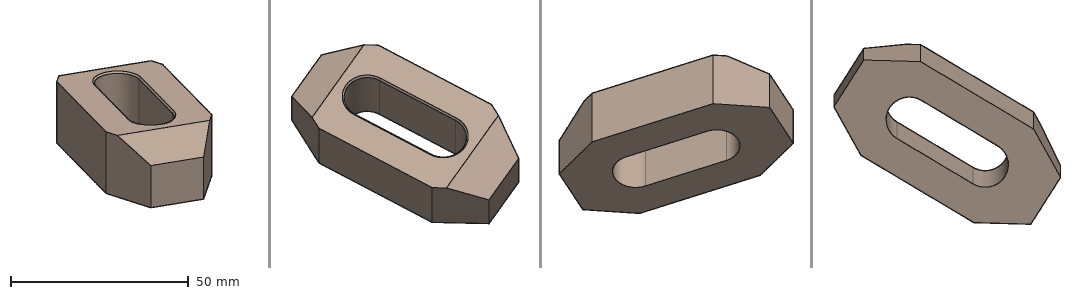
import cadquery as cq
import math

length = 65.0
width = 32.0
height = 19.0

taper_angle = math.radians(30)
nose_width = 16.0
slope_drop = 6.0
side_cut_depth = (width - nose_width) / 2
side_cut_length = side_cut_depth / math.tan(taper_angle)
slope_length = slope_drop / math.tan(taper_angle)

slot_length = 38.0
slot_width = 13.0
slot_chamfer = 0.5


def plan_body():
    """Prism with the eight-sided plan outline, standing on Z = 0."""
    flat_end = length / 2 - side_cut_length
    outline = [
        (length / 2, -nose_width / 2),
        (length / 2, nose_width / 2),
        (flat_end, width / 2),
        (-flat_end, width / 2),
        (-length / 2, nose_width / 2),
        (-length / 2, -nose_width / 2),
        (-flat_end, -width / 2),
        (flat_end, -width / 2),
    ]
    return cq.Workplane("XY").polyline(outline).close().extrude(height)


def side_profile():
    """Prism along Y with both upper ends sloped."""
    top_end = length / 2 - slope_length
    shoulder = height - slope_drop
    outline = [
        (-length / 2, 0),
        (length / 2, 0),
        (length / 2, shoulder),
        (top_end, height),
        (-top_end, height),
        (-length / 2, shoulder),
    ]
    return cq.Workplane("XZ").polyline(outline).close().extrude(width / 2, both=True)


body = plan_body().intersect(side_profile())
slot = cq.Workplane("XY").slot2D(slot_length, slot_width).extrude(height)

slot_mouth = (
    cq.Workplane("XY")
    .workplane(offset=height)
    .slot2D(slot_length + 2 * slot_chamfer, slot_width + 2 * slot_chamfer)
    .extrude(-slot_chamfer, taper=math.degrees(math.atan(1)))
)

result = body.cut(slot).cut(slot_mouth)